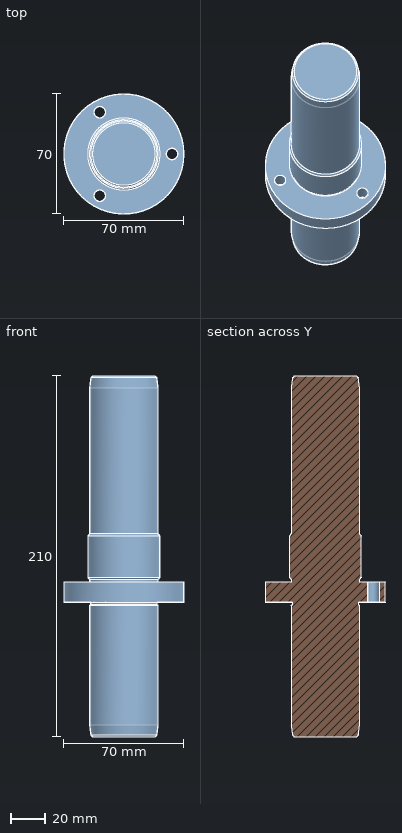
import cadquery as cq

length = 210.0
shaft_diameter = 40.0
collar_diameter = 42.0
flange_diameter = 70.0
neck_diameter = 38.6
tip_diameter = 38.5

flange_bottom = 78.3
flange_thickness = 12.0
flange_top = flange_bottom + flange_thickness
upper_neck_height = 2.5
collar_bottom = flange_top + upper_neck_height
collar_top = 118.2
lower_neck_height = 1.9

taper_length = 7.1
end_chamfer = 1.0
collar_chamfer_height = 1.3
neck_chamfer = (shaft_diameter - neck_diameter) / 2

hole_count = 3
hole_diameter = 6.5
bolt_circle_diameter = 56.0

shaft_radius = shaft_diameter / 2
collar_radius = collar_diameter / 2
flange_radius = flange_diameter / 2
neck_radius = neck_diameter / 2
tip_radius = tip_diameter / 2
face_radius = tip_radius - end_chamfer


def turned_body():
    """Revolve the half profile of the stepped shaft about Z."""
    lower_neck_bottom = flange_bottom - lower_neck_height
    profile = [
        (0, 0),
        (face_radius, 0),
        (tip_radius, end_chamfer),
        (shaft_radius, taper_length),
        (shaft_radius, lower_neck_bottom),
        (neck_radius, lower_neck_bottom + neck_chamfer),
        (neck_radius, flange_bottom),
        (flange_radius, flange_bottom),
        (flange_radius, flange_top),
        (shaft_radius, flange_top),
        (shaft_radius, collar_bottom - collar_chamfer_height),
        (collar_radius, collar_bottom),
        (collar_radius, collar_top - collar_chamfer_height),
        (shaft_radius, collar_top),
        (shaft_radius, length - taper_length),
        (tip_radius, length - end_chamfer),
        (face_radius, length),
        (0, length),
    ]
    return cq.Workplane("XZ").polyline(profile).close().revolve(360, (0, 0), (0, 1))


def flange_holes():
    """Equally spaced through holes, the first one on +X."""
    return (
        cq.Workplane("XY")
        .workplane(offset=flange_bottom)
        .polarArray(bolt_circle_diameter / 2, 0, 360, hole_count)
        .circle(hole_diameter / 2)
        .extrude(flange_thickness)
    )


result = turned_body().cut(flange_holes())